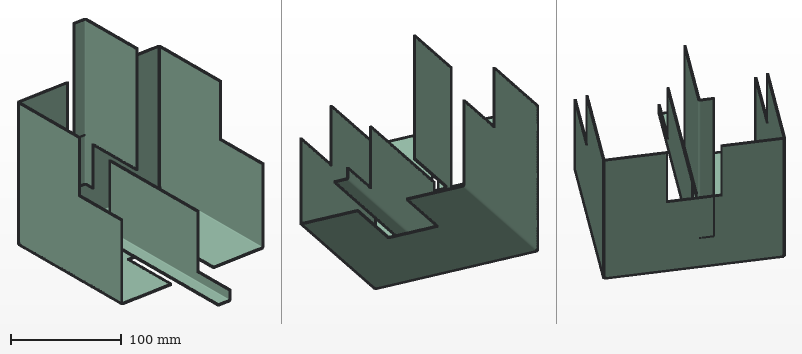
import cadquery as cq

THICKNESS = 1.0
BEND_RADIUS = 1.9
INNER_RADIUS = BEND_RADIUS - THICKNESS

SHELL_SIDE = 147.0
SHELL_WIDTH = 167.0
SIDE_STEP = 87.1
SLOT_WIDTH = 50.0
CORNER_GAP = 0.2
SLOT_START = 86.3

BRACKET_END = 206.0
BRACKET_START = 36.0
BRACKET_FLANGE = 14.0
WEB_TOP = 74.5
LIP_TOP = 12.4
WIDE_LENGTH = 124.8
WEB_FACE_Y = 79.3


def box(x_range, y_range, z_range):
    """Axis-aligned box between pairs of limits."""
    (x0, x1), (y0, y1), (z0, z1) = x_range, y_range, z_range
    return cq.Workplane("XY").box(x1 - x0, y1 - y0, z1 - z0, centered=False).translate((x0, y0, z0))


def make_shell():
    """Tray with a floor, one end wall and two stepped side walls."""
    full = (0, SHELL_SIDE)
    inside = (THICKNESS, SHELL_SIDE)
    shell = box(full, (0, SHELL_WIDTH), full)
    shell = shell.edges("<Z and (not >X)").fillet(BEND_RADIUS)
    cavity = box(inside, (THICKNESS, SHELL_WIDTH - THICKNESS), inside)
    shell = shell.cut(cavity.edges("<Z and (not >X)").fillet(INNER_RADIUS))

    for near_y, gap_y, relief_y in (
        (0, THICKNESS, BEND_RADIUS),
        (SHELL_WIDTH, SHELL_WIDTH - THICKNESS, SHELL_WIDTH - BEND_RADIUS),
    ):
        gap = box((0, THICKNESS + CORNER_GAP), sorted((near_y, gap_y)), full)
        relief = box((0, BEND_RADIUS), sorted((near_y, relief_y)), (0, BEND_RADIUS))
        shell = shell.cut(gap).cut(relief)

    step = (SIDE_STEP, SHELL_SIDE)
    shell = shell.cut(box(step, (0, SHELL_WIDTH), step))

    slot_y = ((SHELL_WIDTH - SLOT_WIDTH) / 2, (SHELL_WIDTH + SLOT_WIDTH) / 2)
    slot = (SLOT_START, SHELL_SIDE)
    sheet = (0, THICKNESS)
    shell = shell.cut(box(sheet, slot_y, slot))
    return shell.cut(box(slot, slot_y, sheet))


def bracket_blank(wide_start):
    """Angle bracket along X, lying on the shell floor, its wide web starting at wide_start."""
    length = (BRACKET_START, BRACKET_END)
    floor = THICKNESS
    flange_y = (WEB_FACE_Y - BRACKET_FLANGE, WEB_FACE_Y)
    inside_y = (WEB_FACE_Y - BRACKET_FLANGE, WEB_FACE_Y - THICKNESS)

    angle = box(length, flange_y, (floor, WEB_TOP)).edges("|X and >Y and <Z").fillet(BEND_RADIUS)
    inside = box(length, inside_y, (floor + THICKNESS, WEB_TOP))
    angle = angle.cut(inside.edges("|X and >Y and <Z").fillet(INNER_RADIUS))

    wide_end = wide_start + WIDE_LENGTH
    for trim_start, trim_end in ((BRACKET_START, wide_start), (wide_end, BRACKET_END)):
        if trim_end > trim_start:
            angle = angle.cut(box((trim_start, trim_end), flange_y, (LIP_TOP, WEB_TOP)))
    return angle


def make_floor_bracket():
    """Bracket along X with the wide part of its web at the near end."""
    return bracket_blank(BRACKET_START)


def make_wall_bracket():
    """Bracket along Z, against the end wall, with its wide web at the far end."""
    blank = bracket_blank(BRACKET_END - WIDE_LENGTH)
    swapped = blank.rotate((0, 0, 0), (1, 0, 1), 180)
    return swapped.mirror("XZ")


shell = make_shell()
floor_bracket = make_floor_bracket()
wall_bracket = make_wall_bracket()

bodies = [shell, floor_bracket, wall_bracket]
result = cq.Compound.makeCompound([body.solids().val() for body in bodies])